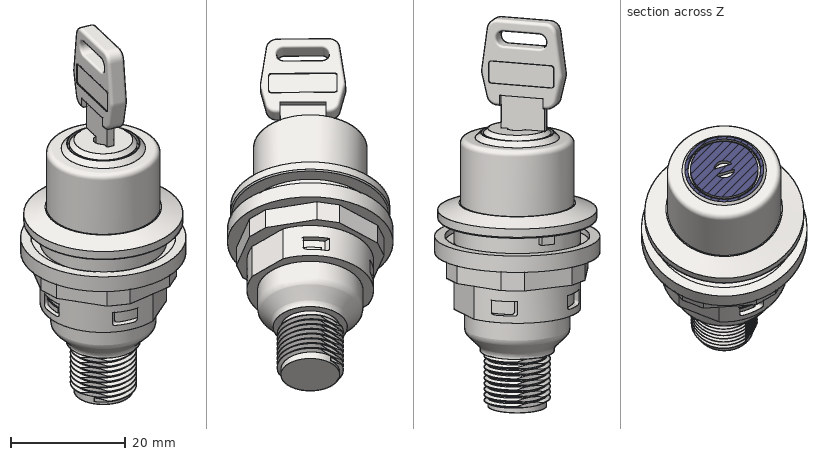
import cadquery as cq
import math


COLLAR_BOTTOM = 10.0
CONE_BOTTOM = 10.75
REAR_TOP = 17.7
HOUSING_TOP = 24.0
NUT_TOP = 27.75
WASHER_TOP = 30.7
FLANGE_BOTTOM = 33.7
FLANGE_EDGE_TOP = 35.45
BARREL_BOTTOM = 36.7
BARREL_TOP = 48.45
RIM_TOP = 49.4
PLUG_TOP = 50.15
KEY_TOP = 69.8

SHANK_DIA = 10.3
COLLAR_DIA = 13.0
REAR_DIA = 18.5
HOUSING_DIA = 22.2
WASHER_DIA = 29.0
WASHER_RECESS_DIA = 25.35
WASHER_RECESS_DEPTH = 1.0
FLANGE_DIA = 27.9
FLANGE_BOTTOM_DIA = 27.4
FLANGE_TOP_DIA = 20.4
BARREL_DIA = 19.95
RIM_BORE = 12.65
RIM_LAND = 0.1
PLUG_DIA = 11.9
PLUG_TOP_DIA = 10.3

REAR_FILLET = 1.4
COLLAR_FILLET = 1.0
BARREL_FILLET = 1.0
PLUG_GAP_DEPTH = 1.0

SELECT_MARGIN = 0.1

THREAD_DIA = 11.6
THREAD_PITCH = 1.0
THREAD_START = 0.87
THREAD_TURNS = 8.6
THREAD_START_ANGLE = -90.0
THREAD_BASE = 0.9
THREAD_CREST = 0.12
THREAD_EMBED = 0.1
ACROSS_THREAD_FLATS = 10.4

NUT_ACROSS_FLATS = 24.3
NUT_ACROSS_CORNERS = 25.7

ACROSS_HOUSING_FLATS = 20.8
WINDOW_INNER_X = 4.9
WINDOW_OUTER_X = 8.55
WINDOW_BOTTOM = 19.0
WINDOW_HEIGHT = 2.6
WINDOW_CORNER = 0.5
WINDOW_FLOOR_DIA = 20.0
LUG_INNER_X = 5.6
LUG_OUTER_X = 8.2
LUG_HEIGHT = 1.0
LUG_PROUD = 0.25

TAB_REACH = 12.1
TAB_WIDTH = 2.5
TAB_HEIGHT = 1.9

KEY_ANGLE = -45.0
KEY_OFFSET = -1.25
BLADE_WIDTH = 8.0
BLADE_THICKNESS = 1.3
BLADE_TOP = 56.25
BOW_THICKNESS = 3.2
BOW_BOTTOM = 54.3
BOW_WIDEST_Z = 60.2
BOW_TOP_WIDTH = 12.4
BOW_WIDTH = 15.0
BOW_BOTTOM_WIDTH = 12.2
BOW_CORNER = 2.0
BOW_EDGE = 0.6
RING_SLOT_Z = 66.45
RING_SLOT_LENGTH = 9.2
RING_SLOT_HEIGHT = 2.7
RING_SLOT_EDGE = 0.4
LABEL_BOTTOM = 58.3
LABEL_WIDTH = 12.0
LABEL_HEIGHT = 4.0
LABEL_CORNER = 0.5
LABEL_DEPTH = 0.2
KEYHOLE_DIA = 3.5
KEYHOLE_DEPTH = 2.0


def disc(diameter, bottom, top):
    return cq.Workplane("XY").workplane(offset=bottom).circle(diameter / 2).extrude(top - bottom)


def cone(bottom_dia, top_dia, bottom, top):
    profile = [(0, bottom), (bottom_dia / 2, bottom), (top_dia / 2, top), (0, top)]
    return cq.Workplane("XZ").polyline(profile).close().revolve(360, (0, 0), (0, 1))


def slab(length_x, length_y, bottom, top):
    return cq.Workplane("XY").workplane(offset=bottom).rect(length_x, length_y).extrude(top - bottom)


def circles_at(body, height):
    """Circular edges of the body that lie at the given height."""
    half_size = WASHER_DIA
    thin_box = cq.selectors.BoxSelector(
        (-half_size, -half_size, height - SELECT_MARGIN),
        (half_size, half_size, height + SELECT_MARGIN),
    )
    return body.edges(thin_box).edges("%CIRCLE")


def make_shank():
    """Threaded shank with a right-hand thread cut flat on the +Y and -Y sides."""
    core = disc(SHANK_DIA, 0, COLLAR_BOTTOM)
    core_radius = SHANK_DIA / 2
    base_radius = core_radius - THREAD_EMBED
    path = cq.Wire.makeHelix(THREAD_PITCH, THREAD_PITCH * THREAD_TURNS, core_radius)
    ridge_profile = [
        (base_radius, -THREAD_BASE / 2),
        (THREAD_DIA / 2, -THREAD_CREST / 2),
        (THREAD_DIA / 2, THREAD_CREST / 2),
        (base_radius, THREAD_BASE / 2),
    ]
    ridge = cq.Workplane("XZ").polyline(ridge_profile).close().sweep(cq.Workplane(path), isFrenet=True)
    ridge = ridge.rotate((0, 0, 0), (0, 0, 1), THREAD_START_ANGLE).translate((0, 0, THREAD_START))
    flats = slab(2 * THREAD_DIA, ACROSS_THREAD_FLATS, 0, COLLAR_BOTTOM)
    return core.union(ridge).intersect(flats)


def make_rear():
    """Collar, 45 degree cone and rear cylinder, blended where they meet."""
    cone_top = CONE_BOTTOM + (REAR_DIA - COLLAR_DIA) / 2
    profile = [
        (0, COLLAR_BOTTOM),
        (COLLAR_DIA / 2, COLLAR_BOTTOM),
        (COLLAR_DIA / 2, CONE_BOTTOM),
        (REAR_DIA / 2, cone_top),
        (REAR_DIA / 2, REAR_TOP),
        (0, REAR_TOP),
    ]
    rear = cq.Workplane("XZ").polyline(profile).close().revolve(360, (0, 0), (0, 1))
    rear = circles_at(rear, cone_top).fillet(REAR_FILLET)
    return circles_at(rear, CONE_BOTTOM).fillet(COLLAR_FILLET)


def make_window_cut(side_x, side_y):
    """Window cut along Y, square at the top and rounded at the bottom, down to a round floor."""
    center_x = side_x * (WINDOW_INNER_X + WINDOW_OUTER_X) / 2
    cut = (
        cq.Workplane("XY")
        .box(WINDOW_OUTER_X - WINDOW_INNER_X, HOUSING_DIA, WINDOW_HEIGHT)
        .edges("|Y and <Z")
        .fillet(WINDOW_CORNER)
        .translate((center_x, side_y * HOUSING_DIA / 2, WINDOW_BOTTOM + WINDOW_HEIGHT / 2))
    )
    return cut.cut(disc(WINDOW_FLOOR_DIA, REAR_TOP, HOUSING_TOP))


def make_window_lug():
    """Low lug on the floor of the window on the -X, -Y side."""
    center_x = (LUG_INNER_X + LUG_OUTER_X) / 2
    lug = slab(LUG_OUTER_X - LUG_INNER_X, HOUSING_DIA / 2, WINDOW_BOTTOM, WINDOW_BOTTOM + LUG_HEIGHT)
    lug = lug.translate((-center_x, -HOUSING_DIA / 4, 0))
    return lug.intersect(disc(WINDOW_FLOOR_DIA + 2 * LUG_PROUD, REAR_TOP, HOUSING_TOP))


def make_housing():
    """Cylinder with flats on the +X and -X sides and four windows."""
    housing = disc(HOUSING_DIA, REAR_TOP, HOUSING_TOP)
    housing = housing.intersect(slab(ACROSS_HOUSING_FLATS, HOUSING_DIA, REAR_TOP, HOUSING_TOP))
    for side_x in (-1, 1):
        for side_y in (-1, 1):
            housing = housing.cut(make_window_cut(side_x, side_y))
    return housing.union(make_window_lug())


def make_nut():
    """Hexagon with flats on +Y and -Y, its six corners trimmed to a second distance across."""
    corner_dia = NUT_ACROSS_FLATS / math.cos(math.pi / 6)
    nut = cq.Workplane("XY").workplane(offset=HOUSING_TOP).polygon(6, corner_dia)
    nut = nut.extrude(NUT_TOP - HOUSING_TOP)
    for angle in (0, 60, 120):
        trim = slab(NUT_ACROSS_CORNERS, WASHER_DIA, HOUSING_TOP, NUT_TOP)
        nut = nut.intersect(trim.rotate((0, 0, 0), (0, 0, 1), angle))
    return nut


def make_washer_and_neck():
    """Washer recessed around the neck, and the locating tab on the neck."""
    recess = disc(WASHER_RECESS_DIA, WASHER_TOP - WASHER_RECESS_DEPTH, WASHER_TOP)
    washer = disc(WASHER_DIA, NUT_TOP, WASHER_TOP).cut(recess)
    neck = disc(HOUSING_DIA, NUT_TOP, FLANGE_BOTTOM)
    tab = slab(TAB_WIDTH, TAB_REACH, FLANGE_BOTTOM - TAB_HEIGHT, FLANGE_BOTTOM)
    tab = tab.translate((0, TAB_REACH / 2, 0))
    return washer.union(neck).union(tab)


def make_flange():
    """Flange with a small chamfer below and a shallow cone above."""
    chamfer = (FLANGE_DIA - FLANGE_BOTTOM_DIA) / 2
    lower = cone(FLANGE_BOTTOM_DIA, FLANGE_DIA, FLANGE_BOTTOM, FLANGE_BOTTOM + chamfer)
    edge = disc(FLANGE_DIA, FLANGE_BOTTOM + chamfer, FLANGE_EDGE_TOP)
    upper = cone(FLANGE_DIA, FLANGE_TOP_DIA, FLANGE_EDGE_TOP, BARREL_BOTTOM)
    return lower.union(edge).union(upper)


def make_barrel():
    """Barrel with a raised rim around the lock plug."""
    barrel = disc(BARREL_DIA, BARREL_BOTTOM, BARREL_TOP).faces(">Z").edges().fillet(BARREL_FILLET)
    rim_top_dia = RIM_BORE + 2 * RIM_LAND
    rim_bottom_dia = rim_top_dia + 2 * (RIM_TOP - BARREL_TOP)
    barrel = barrel.union(cone(rim_bottom_dia, rim_top_dia, BARREL_TOP, RIM_TOP))
    gap_bottom = RIM_TOP - PLUG_GAP_DEPTH
    barrel = barrel.cut(disc(RIM_BORE, gap_bottom, RIM_TOP))
    plug_edge = PLUG_TOP - (PLUG_DIA - PLUG_TOP_DIA) / 2
    plug = disc(PLUG_DIA, gap_bottom, plug_edge).union(cone(PLUG_DIA, PLUG_TOP_DIA, plug_edge, PLUG_TOP))
    keyhole = disc(KEYHOLE_DIA, PLUG_TOP - KEYHOLE_DEPTH, PLUG_TOP)
    return barrel.union(plug).cut(keyhole)


def key_plate(outline, thickness):
    """Plate centred on the XZ plane."""
    return outline.extrude(thickness / 2, both=True)


def make_key():
    """Key with a bow, ring slot, recessed label panels and blade."""
    bow_outline = [
        (-BOW_TOP_WIDTH / 2, KEY_TOP),
        (BOW_TOP_WIDTH / 2, KEY_TOP),
        (BOW_WIDTH / 2, BOW_WIDEST_Z),
        (BOW_BOTTOM_WIDTH / 2, BOW_BOTTOM),
        (-BOW_BOTTOM_WIDTH / 2, BOW_BOTTOM),
        (-BOW_WIDTH / 2, BOW_WIDEST_Z),
    ]
    bow = key_plate(cq.Workplane("XZ").polyline(bow_outline).close(), BOW_THICKNESS)
    bow = bow.edges("|Y").fillet(BOW_CORNER)
    bow = bow.faces("<Y or >Y").edges().fillet(BOW_EDGE)

    slot_sketch = cq.Workplane("XZ").center(0, RING_SLOT_Z).slot2D(RING_SLOT_LENGTH, RING_SLOT_HEIGHT)
    bow = bow.cut(key_plate(slot_sketch, BOW_THICKNESS))
    slot_height = RING_SLOT_HEIGHT + RING_SLOT_EDGE
    slot_box = cq.selectors.BoxSelector(
        (-RING_SLOT_LENGTH, -BOW_THICKNESS, RING_SLOT_Z - slot_height / 2),
        (RING_SLOT_LENGTH, BOW_THICKNESS, RING_SLOT_Z + slot_height / 2),
        boundingbox=True,
    )
    bow = bow.faces("<Y or >Y").edges(slot_box).fillet(RING_SLOT_EDGE)

    label_z = LABEL_BOTTOM + LABEL_HEIGHT / 2
    for side in (-1, 1):
        label = (
            cq.Workplane("XY")
            .box(LABEL_WIDTH, 2 * LABEL_DEPTH, LABEL_HEIGHT)
            .edges("|Y")
            .fillet(LABEL_CORNER)
            .translate((0, side * BOW_THICKNESS / 2, label_z))
        )
        bow = bow.cut(label)

    bow = bow.cut(slab(BLADE_WIDTH, BOW_THICKNESS, BOW_BOTTOM, BLADE_TOP))
    blade = slab(BLADE_WIDTH, BLADE_THICKNESS, PLUG_TOP - KEYHOLE_DEPTH, BLADE_TOP)
    key = bow.union(blade).translate((KEY_OFFSET, 0, 0))
    return key.rotate((0, 0, 0), (0, 0, 1), KEY_ANGLE)


result = make_shank()
for section in (
    make_rear(),
    make_housing(),
    make_nut(),
    make_washer_and_neck(),
    make_flange(),
    make_barrel(),
    make_key(),
):
    result = result.union(section)